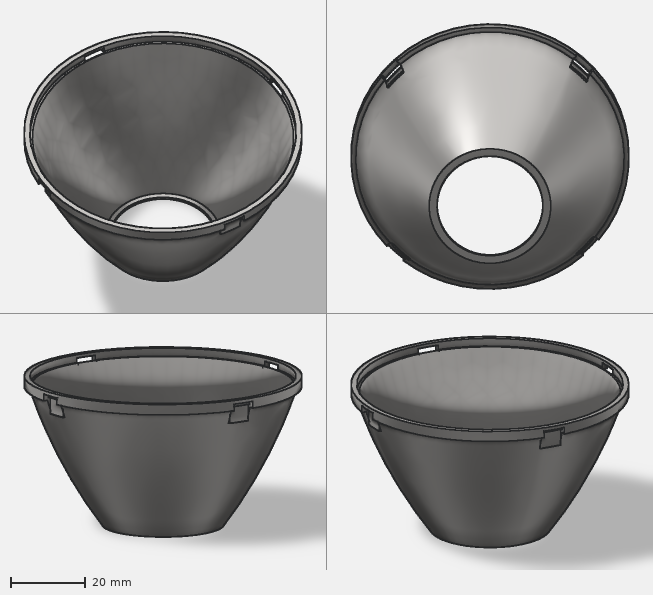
import cadquery as cq

rim_radius = 37.5
height = 41.0

rim_height = 2.85
recess_radius = 35.9
recess_depth = 2.2

mid_height = 20.8
outer_base_radius = 16.4
outer_mid_radius = 29.1
outer_top_radius = 36.2
floor_thickness = 0.75
inner_base_radius = 15.7
inner_mid_radius = 27.9
inner_top_radius = 35.25
base_hole_radius = 14.25

window_count = 4
window_width = 6.15
window_top = 40.05
pad_bottom = 34.35
pad_radius = 35.4
pad_inner_radius = 34.65
pad_blank_radius = 35.85
pad_blank_top = 36.75
cut_clearance = 0.75

rim_underside = height - rim_height
ledge_height = height - recess_depth


def make_reflector():
    """Revolve the curved wall, the floor lip and the recessed rim."""
    profile = (
        cq.Workplane("XZ")
        .moveTo(base_hole_radius, 0)
        .lineTo(outer_base_radius, 0)
        .threePointArc((outer_mid_radius, mid_height), (outer_top_radius, rim_underside))
        .lineTo(rim_radius, rim_underside)
        .lineTo(rim_radius, height)
        .lineTo(recess_radius, height)
        .lineTo(recess_radius, ledge_height)
        .lineTo(inner_top_radius, ledge_height)
        .threePointArc((inner_mid_radius, mid_height), (inner_base_radius, floor_thickness))
        .lineTo(base_hole_radius, floor_thickness)
        .close()
    )
    return profile.revolve(360, (0, 0), (0, 1))


def make_window_block(inner_radius, outer_radius, top):
    """Curved block on the +X side, from the bottom of the pad up to the given height."""
    block_height = top - pad_bottom
    ring = cq.Workplane("XY").workplane(offset=pad_bottom).circle(outer_radius).circle(inner_radius)
    ring = ring.extrude(block_height)
    slab = cq.Workplane("XY").box(2 * rim_radius, window_width, block_height, centered=(False, True, False))
    return ring.intersect(slab.translate((0, 0, pad_bottom)))


def place_around_axis(shape, index):
    """Turn a shape to its place in the ring of windows."""
    return shape.rotate((0, 0, 0), (0, 0, 1), index * 360 / window_count)


result = make_reflector()
pad = make_window_block(pad_inner_radius, pad_blank_radius, pad_blank_top)
cutter = make_window_block(pad_radius, rim_radius + cut_clearance, window_top)
for index in range(window_count):
    result = result.union(place_around_axis(pad, index))
    result = result.cut(place_around_axis(cutter, index))